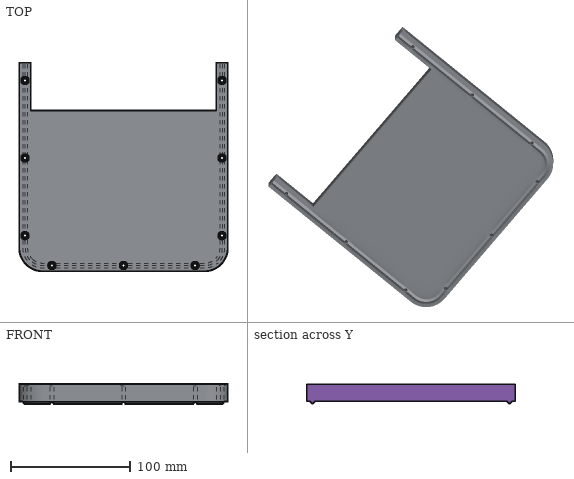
import cadquery as cq

WIDTH = 175.0
LENGTH = 175.0
RIDGE_HEIGHT = 2.0
BODY_THICKNESS = 15.0
CORNER_RADIUS = 20.0

ARM_WIDTH = 10.0
ARM_LENGTH = 40.0

HOLE_INSET = ARM_WIDTH / 2
HOLE_DIAMETER = 3.2
COUNTERSINK_DIAMETER = 6.5
COUNTERSINK_ANGLE = 90.0
SIDE_HOLE_SPACING = 65.0
SIDE_HOLE_END_OFFSET = 15.0
SIDE_HOLE_COUNT = 3
FRONT_HOLE_SPACING = 60.0

RIDGE_BASE_WIDTH = 2 * RIDGE_HEIGHT

BODY_BOTTOM = RIDGE_HEIGHT
BODY_TOP = BODY_BOTTOM + BODY_THICKNESS
BACK_Y = LENGTH / 2
FRONT_Y = -LENGTH / 2
HOLE_LINE_X = WIDTH / 2 - HOLE_INSET
HOLE_LINE_Y = FRONT_Y + HOLE_INSET


def make_body():
    """Plate with two rounded front corners and a notch that leaves an arm on each side."""
    plate = (
        cq.Workplane("XY", origin=(0, 0, BODY_BOTTOM))
        .rect(WIDTH, LENGTH)
        .extrude(BODY_THICKNESS)
        .edges("|Z and <Y")
        .fillet(CORNER_RADIUS)
    )
    notch = (
        cq.Workplane("XY", origin=(0, BACK_Y - ARM_LENGTH / 2, BODY_BOTTOM))
        .rect(WIDTH - 2 * ARM_WIDTH, ARM_LENGTH)
        .extrude(BODY_THICKNESS)
    )
    return plate.cut(notch)


def make_ridge():
    """U-shaped ridge of triangular section along both sides and the front."""
    bend_radius = CORNER_RADIUS - HOLE_INSET
    bend_center_x = HOLE_LINE_X - bend_radius
    bend_center_y = HOLE_LINE_Y + bend_radius
    path = (
        cq.Workplane("XY", origin=(0, 0, BODY_BOTTOM))
        .moveTo(-HOLE_LINE_X, BACK_Y)
        .lineTo(-HOLE_LINE_X, bend_center_y)
        .radiusArc((-bend_center_x, HOLE_LINE_Y), -bend_radius)
        .lineTo(bend_center_x, HOLE_LINE_Y)
        .radiusArc((HOLE_LINE_X, bend_center_y), -bend_radius)
        .lineTo(HOLE_LINE_X, BACK_Y)
    )
    section = cq.Workplane("XZ", origin=(-HOLE_LINE_X, BACK_Y, 0)).polyline(
        [
            (-RIDGE_BASE_WIDTH / 2, BODY_BOTTOM),
            (RIDGE_BASE_WIDTH / 2, BODY_BOTTOM),
            (0, 0),
        ]
    )
    return section.close().sweep(path)


def hole_positions():
    """Screw positions: a column along each side and a row along the front."""
    first_side_y = BACK_Y - SIDE_HOLE_END_OFFSET
    positions = []
    for x in (-HOLE_LINE_X, HOLE_LINE_X):
        for index in range(SIDE_HOLE_COUNT):
            positions.append((x, first_side_y - index * SIDE_HOLE_SPACING))
    for x in (-FRONT_HOLE_SPACING, 0, FRONT_HOLE_SPACING):
        positions.append((x, HOLE_LINE_Y))
    return positions


def drill_holes(part):
    """Countersink the screw holes from the top, through the body and the ridge."""
    return (
        part.faces(">Z")
        .workplane(origin=(0, 0, BODY_TOP))
        .pushPoints(hole_positions())
        .cskHole(HOLE_DIAMETER, COUNTERSINK_DIAMETER, COUNTERSINK_ANGLE)
    )


result = drill_holes(make_body().union(make_ridge())).solids()